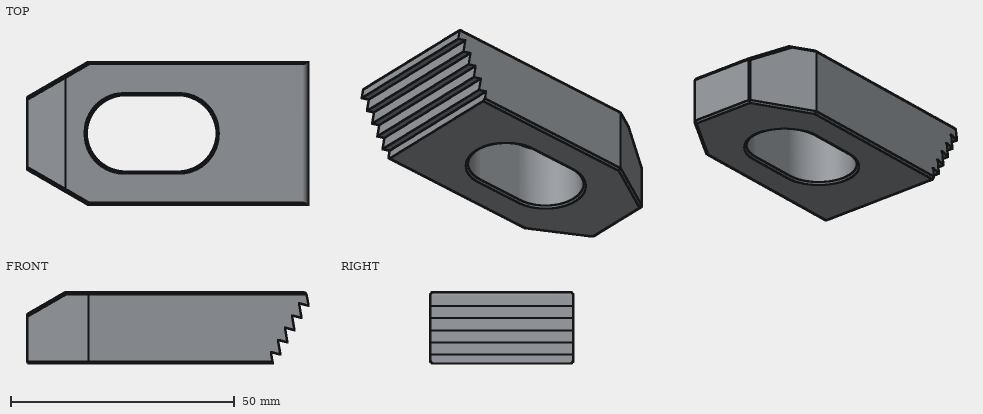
import cadquery as cq
import math

length = 63.0
width = 32.0
height = 16.0
edge_bevel = 0.5

nose_angle = math.radians(30)
slope_length = 8.6
taper_length = 13.8
nose_bevel = 0.25

slot_length = 29.0
slot_width = 17.0
slot_center_x = 27.9

tooth_count = 5
tooth_pitch = 3.15
stair_angle = math.radians(60)
tooth_depth = 2.15
tooth_underside_angle = math.radians(15)
tooth_face_angle = math.radians(10)
first_tip_drop = 3.1
end_round = 1.0


UP = cq.Vector(0, 0, 1)
DOWN = cq.Vector(0, 0, -1)
FRONT = cq.Vector(-1, 0, 0)
SLOPE = cq.Vector(-math.sin(nose_angle), 0, math.cos(nose_angle))


def trim(body, point, normal):
    """Remove everything beyond the plane through point, on the side normal points to."""
    size = 3 * length
    waste = cq.Workplane(cq.Plane(origin=point, normal=normal)).rect(size, size).extrude(size)
    return body.cut(waste)


def bevel(body, point, normal_a, normal_b, leg):
    """Bevel the edge through point, taking the same leg off both adjoining faces."""
    depth = leg * math.sin(normal_a.getAngle(normal_b) / 2)
    direction = (normal_a + normal_b).normalized()
    return trim(body, point - direction * depth, direction)


def make_block():
    """Block with a tapered, sloping nose and bevelled outer edges."""
    nose_half_width = width / 2 - taper_length * math.tan(nose_angle)
    nose_height = height - slope_length * math.tan(nose_angle)
    nose_top = cq.Vector(0, 0, nose_height)

    body = cq.Workplane("XY").box(length, width, height, centered=(False, True, False))
    body = trim(body, nose_top, SLOPE)
    for side in (-1, 1):
        taper = cq.Vector(-math.sin(nose_angle), side * math.cos(nose_angle), 0)
        body = trim(body, cq.Vector(0, side * nose_half_width, 0), taper)

    body = bevel(body, nose_top, FRONT, SLOPE, nose_bevel)
    body = bevel(body, cq.Vector(0, 0, 0), FRONT, DOWN, edge_bevel)

    for side in (-1, 1):
        flank = cq.Vector(0, side, 0)
        taper = cq.Vector(-math.sin(nose_angle), side * math.cos(nose_angle), 0)
        nose_corner = cq.Vector(0, side * nose_half_width, 0)
        body = bevel(body, nose_corner, FRONT, taper, nose_bevel)
        body = bevel(body, nose_corner + nose_top, SLOPE, taper, edge_bevel)
        for z, cap in ((0, DOWN), (height, UP)):
            level = cq.Vector(0, 0, z)
            body = bevel(body, nose_corner + level, taper, cap, edge_bevel)
            body = bevel(body, flank * (width / 2) + level, flank, cap, edge_bevel)
    return body


def make_slot():
    """Through slot, flared at the top and bottom by the edge bevel."""
    slot = (
        cq.Workplane("XY", origin=(slot_center_x, 0, 0))
        .slot2D(slot_length, slot_width)
        .extrude(height)
    )
    flared_length = slot_length + 2 * edge_bevel
    flared_width = slot_width + 2 * edge_bevel
    for z, flare_depth in ((0, 2 * edge_bevel), (height, -2 * edge_bevel)):
        flare = (
            cq.Workplane("XY", origin=(slot_center_x, 0, z))
            .slot2D(flared_length, flared_width)
            .extrude(flare_depth, taper=45)
        )
        slot = slot.union(flare)
    return slot


def make_end_envelope():
    """Full-width prism whose +X end carries the teeth and the rounded top edge."""
    tip_z = height - first_tip_drop
    top_x = length - first_tip_drop * math.tan(tooth_face_angle)
    profile = cq.Workplane("XZ").moveTo(0, 0).lineTo(0, height).lineTo(top_x, height)
    for tooth in range(tooth_count):
        x = length - tooth * tooth_pitch * math.cos(stair_angle)
        z = tip_z - tooth * tooth_pitch * math.sin(stair_angle)
        root_x = x - tooth_depth
        root_z = z + tooth_depth * math.tan(tooth_underside_angle)
        profile = profile.lineTo(x, z).lineTo(root_x, root_z)
    bottom_x = root_x + root_z * math.tan(tooth_face_angle)
    prism = profile.lineTo(bottom_x, 0).close().extrude(width / 2, both=True)
    return prism.faces(">Z").edges(">X").fillet(end_round)


result = make_block().cut(make_slot()).intersect(make_end_envelope())